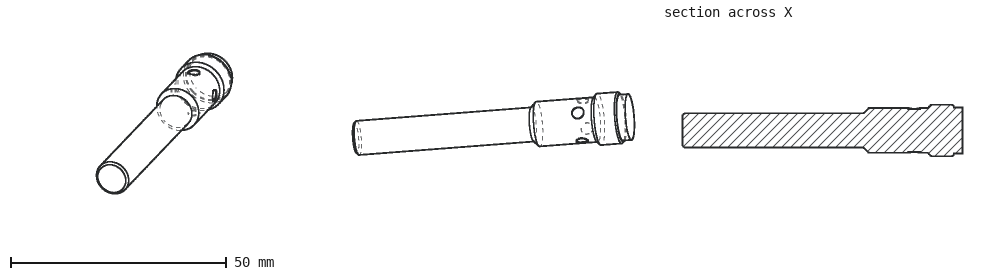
import cadquery as cq

length = 65.0

rod_diameter = 8.0
body_diameter = 10.45
collar_diameter = 12.0
cap_diameter = 10.7

cap_length = 2.0
collar_end = 8.05
body_end = 23.0

tip_chamfer = 0.5
collar_back_chamfer = 0.4

dimple_count = 4
dimple_diameter = 2.8
dimple_depth = 0.25
dimple_distance = 11.25

rod_radius = rod_diameter / 2
body_radius = body_diameter / 2
collar_radius = collar_diameter / 2
cap_radius = cap_diameter / 2

body_taper = body_radius - rod_radius
collar_taper = collar_radius - body_radius

cap_face_y = length / 2
tip_y = -length / 2
cap_base_y = cap_face_y - cap_length
collar_front_y = cap_face_y - collar_end
body_front_y = cap_face_y - body_end


def turned_body():
    """Stepped pin revolved about the Y axis."""
    profile = [
        (0, tip_y),
        (rod_radius - tip_chamfer, tip_y),
        (rod_radius, tip_y + tip_chamfer),
        (rod_radius, body_front_y),
        (body_radius, body_front_y + body_taper),
        (body_radius, collar_front_y),
        (collar_radius, collar_front_y + collar_taper),
        (collar_radius, cap_base_y - collar_back_chamfer),
        (collar_radius - collar_back_chamfer, cap_base_y),
        (cap_radius, cap_base_y),
        (cap_radius, cap_face_y),
        (0, cap_face_y),
    ]
    return cq.Workplane("XY").polyline(profile).close().revolve(360, (0, 0, 0), (0, 1, 0))


def dimple_cutters():
    """Radial pegs spaced evenly about Y, trimmed so each floor follows the body's curve."""
    core = (
        cq.Workplane("XZ", origin=(0, cap_face_y, 0))
        .circle(body_radius - dimple_depth)
        .extrude(length)
    )
    peg = (
        cq.Workplane("XY")
        .center(0, cap_face_y - dimple_distance)
        .circle(dimple_diameter / 2)
        .extrude(collar_radius)
        .cut(core)
    )
    return [
        peg.rotate((0, 0, 0), (0, 1, 0), index * 360 / dimple_count)
        for index in range(dimple_count)
    ]


result = turned_body()
for cutter in dimple_cutters():
    result = result.cut(cutter)